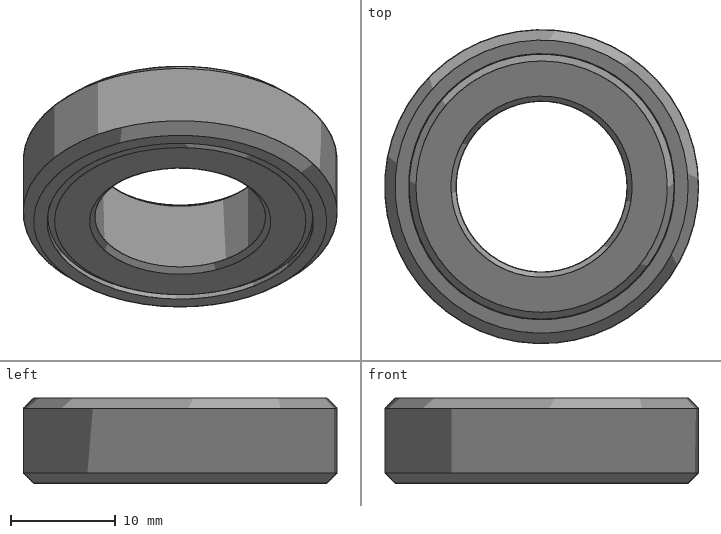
import cadquery as cq

outer_diameter = 30.0
width = 8.15

ball_diameter = 26.3
sphere_clearance = 0.2
socket_diameter = ball_diameter + 2 * sphere_clearance

bore_diameter = 16.3

outer_ring_chamfer = 1.0
inner_ring_chamfer = 0.5


def disc(diameter):
    """Cylinder about Z, as tall as the bearing and centred on the origin."""
    return cq.Workplane("XY").cylinder(width, diameter / 2)


def sphere(diameter):
    """Sphere centred on the origin."""
    return cq.Workplane("XY").sphere(diameter / 2)


def outer_ring():
    """Disc with chamfered outside edges and a concave spherical socket."""
    blank = disc(outer_diameter).edges("%CIRCLE").chamfer(outer_ring_chamfer)
    return blank.cut(sphere(socket_diameter))


def inner_ring():
    """Slice of a ball with a through bore, chamfered at its rims and bore ends."""
    ball_slice = disc(outer_diameter).intersect(sphere(ball_diameter))
    bored = ball_slice.cut(disc(bore_diameter))
    flat_faces = bored.faces("|Z")
    return flat_faces.edges().chamfer(inner_ring_chamfer)


outer = outer_ring()
inner = inner_ring()

result = cq.Compound.makeCompound([outer.val(), inner.val()])